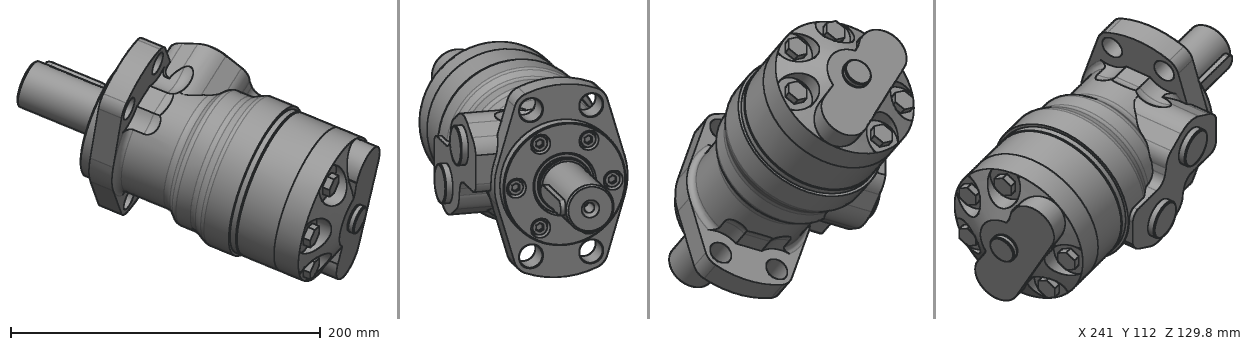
import cadquery as cq
import math

TOTAL_LENGTH = 241.0

SHAFT_RADIUS = 32.0 / 2
SHAFT_CHAMFER = 1.2
COLLAR_RADIUS = 35.7 / 2
COLLAR_LIP_RADIUS = 35.0 / 2
COLLAR_START = 56.2
COLLAR_LIP = 1.0
CENTRE_BORE_DIAMETER = 6.8
CENTRE_BORE_DEPTH = 16.9
DRILL_POINT_ANGLE = 118
CENTRE_SINK_DIAMETER = 11.8
KEY_START = 3.4
KEY_LENGTH = 45.5
KEY_WIDTH = 10.1
KEY_HEIGHT = 8.0
KEY_TOP = 19.0

PILOT_START = 58.8
PILOT_RADIUS = 41.2
PILOT_CHAMFER = 0.7
SEAL_RECESS_RADIUS = 20.0
SEAL_RECESS_DEPTH = 1.5
SEAL_RECESS_CHAMFER = 1.2
FLANGE_START = 67.3
FLANGE_END = 84.0
FLANGE_TIP_RADIUS = 64.9
FLANGE_WAIST_RADIUS = 44.8
FLANGE_TANGENT_Z = 12.8
FLANGE_CORNER_RADIUS = 12.0
MOUNT_HOLE_DIAMETER = 15.5
MOUNT_HOLE_Y = 20.3
MOUNT_HOLE_CHAMFER = 0.5
MOUNT_HOLE_Z = 49.2
SCREW_COUNT = 6
SCREW_CIRCLE_RADIUS = 32.5
SCREW_BORE_DIAMETER = 13.0
SCREW_BORE_DEPTH = 7.2
SCREW_HEAD_DIAMETER = 10.0
SCREW_HEAD_HEIGHT = 5.8
SCREW_SOCKET_FLATS = 5.0
SCREW_SOCKET_DEPTH = 3.0

NECK_RADIUS = 40.5
MIDDLE_RADIUS = 47.3
RIM_RADIUS = 52.0
NECK_END = 119.0
FIRST_SLOPE_START = (124.5, 42.2)
FIRST_SLOPE_END = (127.8, 45.5)
MIDDLE_START = 131.5
MIDDLE_END = 141.8
SECOND_SLOPE_START = (145.9, 48.2)
SECOND_SLOPE_END = (151.2, 51.0)
RIM_START = 154.0
HOUSING_END = 172.1

POCKET_RADIUS = 21.0
POCKET_Y = 23.1
POCKET_Z = 54.0
POCKET_END = 107.5
POCKET_END_ROUND = 11.5
POCKET_FLOOR_Z = 38.3
POCKET_FLOOR_HALF_WIDTH = 9.6

BLOCK_TOP = 55.0
BLOCK_CENTRE_X = 123.2
PORT_OFFSET_X = 17.8
PORT_OFFSET_Z = 17.8
PORT_LOBE_RADIUS = 20.5
BLOCK_HALF_LENGTH = 48.0
BLOCK_CORNER_Z = 19.3
FLANK_ANGLE = 30
FLANK_REACH = 21.5
BLOCK_NOSE_MIDDLE = (-44.8, 24.8)
SHOULDER_END = (9.6, 18.3)
STEP_ROUND_START = (11.0, 13.3)
STEP_ROUND_MIDDLE = (14.7, 8.5)
STEP_ROUND_END_X = 20.5
STEP_Z = 7.0
END_ROUND_START_X = 42.2
END_ROUND_MIDDLE = (46.3, 4.8)
PORT_CAP_DIAMETER = 26.0
PORT_CAP_TOP = 60.0
PORT_CAP_CHAMFER = 0.7

STACK_RADIUS = 100.0 / 2
PLATE_END = 176.7
SEAM_CHAMFER = 0.5
RING_END = 204.0
COVER_RIM_END = 221.5
COVER_END = 236.0
CONE_END_RADIUS = 20.0
BOSS_RADIUS = 16.9
BOSS_CIRCLE_RADIUS = 33.0
BOSS_FLANK = [(4.3, 32.3), (2.5, 24.4), (-14.7, -10.5), (-22.2, -24.0)]
BOLT_COUNT = 7
BOLT_CIRCLE_RADIUS = 40.5
BOSS_PLACES = (1, 5)
BOLT_FLATS = 13.0
BOLT_HEAD_HEIGHT = 5.0
BOLT_POCKET_RADIUS = 13.0
DRAIN_RADIUS = 19.0 / 2
DRAIN_NECK_RADIUS = 18.0 / 2
DRAIN_NECK_LENGTH = 1.0
DRAIN_CHAMFER = 0.7


def cylinder(start, end, radius, y=0.0, z=0.0):
    """Cylinder along X from start to end, with its axis at (y, z)."""
    return cq.Workplane("YZ", origin=(start, y, z)).circle(radius).extrude(end - start)


def hexagon(start, height, flats, y, z):
    """Hexagonal prism along X with two of its corners pointing along Z."""
    corner_diameter = flats / math.cos(math.pi / 6)
    return (
        cq.Workplane("YZ", origin=(start, y, z))
        .transformed(rotate=(0, 0, 90))
        .polygon(6, corner_diameter)
        .extrude(height)
    )


def circle_points(count, radius):
    """Evenly spaced (y, z) points around the drive axis, the first on +Y."""
    step = 2 * math.pi / count
    return [(radius * math.cos(i * step), radius * math.sin(i * step)) for i in range(count)]


def make_key():
    return (
        cq.Workplane("XZ", origin=(KEY_START + KEY_LENGTH / 2, KEY_TOP, 0))
        .slot2D(KEY_LENGTH, KEY_WIDTH)
        .extrude(KEY_HEIGHT)
    )


def make_centre_bore():
    """Drilled bore in the shaft end, with a 45-degree countersink and a drill point."""
    bore_radius = CENTRE_BORE_DIAMETER / 2
    sink_radius = CENTRE_SINK_DIAMETER / 2
    point_length = bore_radius / math.tan(math.radians(DRILL_POINT_ANGLE / 2))
    return (
        cq.Workplane("XY")
        .lineTo(0, sink_radius)
        .lineTo(sink_radius - bore_radius, bore_radius)
        .lineTo(CENTRE_BORE_DEPTH, bore_radius)
        .lineTo(CENTRE_BORE_DEPTH + point_length, 0)
        .close()
        .revolve(360, (0, 0, 0), (1, 0, 0))
    )


def make_shaft(key):
    collar_end = PILOT_START + SEAL_RECESS_DEPTH
    lip_end = COLLAR_START + COLLAR_LIP
    shaft = cylinder(0, collar_end, SHAFT_RADIUS).faces("<X").chamfer(SHAFT_CHAMFER)
    shaft = shaft.union(cylinder(COLLAR_START, lip_end, COLLAR_LIP_RADIUS))
    shaft = shaft.union(cylinder(lip_end, collar_end, COLLAR_RADIUS))
    return shaft.cut(make_centre_bore()).cut(key)


def make_flange():
    """Oval flange: two wide tip arcs joined by flanks tangent to the waist circle."""
    flank_angle = math.asin(FLANGE_TANGENT_Z / FLANGE_WAIST_RADIUS)
    tangent_y = FLANGE_WAIST_RADIUS * math.cos(flank_angle)
    flank_run = math.sqrt(FLANGE_TIP_RADIUS**2 - FLANGE_WAIST_RADIUS**2)
    corner_y = tangent_y - flank_run * math.sin(flank_angle)
    corner_z = FLANGE_TANGENT_Z + flank_run * math.cos(flank_angle)
    flange = (
        cq.Workplane("YZ", origin=(FLANGE_START, 0, 0))
        .moveTo(tangent_y, -FLANGE_TANGENT_Z)
        .threePointArc((FLANGE_WAIST_RADIUS, 0), (tangent_y, FLANGE_TANGENT_Z))
        .lineTo(corner_y, corner_z)
        .threePointArc((0, FLANGE_TIP_RADIUS), (-corner_y, corner_z))
        .lineTo(-tangent_y, FLANGE_TANGENT_Z)
        .threePointArc((-FLANGE_WAIST_RADIUS, 0), (-tangent_y, -FLANGE_TANGENT_Z))
        .lineTo(-corner_y, -corner_z)
        .threePointArc((0, -FLANGE_TIP_RADIUS), (corner_y, -corner_z))
        .close()
        .extrude(FLANGE_END - FLANGE_START)
    )
    for side in (1, -1):
        for end in (1, -1):
            corner = (FLANGE_START, side * corner_y, end * corner_z)
            flange = flange.edges("|X").edges(cq.NearestToPointSelector(corner)).fillet(FLANGE_CORNER_RADIUS)
    return flange


def make_barrel():
    """Revolved barrel: neck, middle and rim joined by S-shaped shoulders."""
    root_fillet = FLANGE_WAIST_RADIUS - NECK_RADIUS
    bend = math.sqrt(0.5) * root_fillet
    return (
        cq.Workplane("XY")
        .moveTo(FLANGE_END, 0)
        .lineTo(FLANGE_END, FLANGE_WAIST_RADIUS)
        .threePointArc(
            (FLANGE_END + root_fillet - bend, FLANGE_WAIST_RADIUS - bend),
            (FLANGE_END + root_fillet, NECK_RADIUS),
        )
        .lineTo(NECK_END, NECK_RADIUS)
        .tangentArcPoint(FIRST_SLOPE_START, relative=False)
        .lineTo(*FIRST_SLOPE_END)
        .tangentArcPoint((MIDDLE_START, MIDDLE_RADIUS), relative=False)
        .lineTo(MIDDLE_END, MIDDLE_RADIUS)
        .tangentArcPoint(SECOND_SLOPE_START, relative=False)
        .lineTo(*SECOND_SLOPE_END)
        .tangentArcPoint((RIM_START, RIM_RADIUS), relative=False)
        .lineTo(HOUSING_END, RIM_RADIUS)
        .lineTo(HOUSING_END, 0)
        .close()
        .revolve(360, (0, 0, 0), (1, 0, 0))
    )


def make_port_block():
    """Block with two staggered lobes, unchanged by a half turn about its own centre."""
    flank = math.radians(FLANK_ANGLE)
    arc_half = PORT_LOBE_RADIUS * math.sin(flank)
    arc_z = PORT_OFFSET_Z + PORT_LOBE_RADIUS * math.cos(flank)
    flank_z = arc_z - (FLANK_REACH - arc_half) * math.tan(flank)
    lobe_x = -PORT_OFFSET_X

    def half_outline(sketch, turn):
        def at(x, z):
            return (turn * x, turn * z)

        return (
            sketch.lineTo(*at(-BLOCK_HALF_LENGTH, BLOCK_CORNER_Z))
            .threePointArc(at(*BLOCK_NOSE_MIDDLE), at(lobe_x - FLANK_REACH, flank_z))
            .lineTo(*at(lobe_x - arc_half, arc_z))
            .tangentArcPoint(at(lobe_x + arc_half, arc_z), relative=False)
            .lineTo(*at(lobe_x + FLANK_REACH, flank_z))
            .tangentArcPoint(at(*SHOULDER_END), relative=False)
            .lineTo(*at(*STEP_ROUND_START))
            .threePointArc(at(*STEP_ROUND_MIDDLE), at(STEP_ROUND_END_X, STEP_Z))
            .lineTo(*at(END_ROUND_START_X, STEP_Z))
            .threePointArc(at(*END_ROUND_MIDDLE), at(BLOCK_HALF_LENGTH, 0))
        )

    outline = cq.Workplane("XZ", origin=(BLOCK_CENTRE_X, 0, 0)).moveTo(-BLOCK_HALF_LENGTH, 0)
    outline = half_outline(outline, 1)
    outline = half_outline(outline, -1)
    return outline.close().extrude(-BLOCK_TOP)


def make_port_cap(side):
    x = BLOCK_CENTRE_X - side * PORT_OFFSET_X
    z = side * PORT_OFFSET_Z
    cap = (
        cq.Workplane("XZ", origin=(x, BLOCK_TOP, z))
        .circle(PORT_CAP_DIAMETER / 2)
        .extrude(BLOCK_TOP - PORT_CAP_TOP)
    )
    return cap.faces(">Y").chamfer(PORT_CAP_CHAMFER)


def make_neck_pocket(side):
    """Round-ended clearance for two mounting bolts, above (1) or below (-1) the axis."""
    pocket_length = POCKET_END - FLANGE_END
    pocket = cq.Workplane("XY").box(
        pocket_length,
        2 * POCKET_FLOOR_HALF_WIDTH,
        POCKET_Z - POCKET_FLOOR_Z,
        centered=(False, True, False),
    )
    pocket = pocket.translate((FLANGE_END, 0, POCKET_FLOOR_Z))
    pocket = pocket.faces(">X").edges("<Z").fillet(POCKET_END_ROUND)
    for y in (POCKET_Y, -POCKET_Y):
        bore = cylinder(FLANGE_END, POCKET_END, POCKET_RADIUS, y, POCKET_Z)
        pocket = pocket.union(bore.faces(">X").edges().fillet(POCKET_END_ROUND))
    return pocket if side > 0 else pocket.mirror("XY")


def add_flange_screws(housing):
    """Counterbores in the pilot face, each holding a socket screw head."""
    floor = PILOT_START + SCREW_BORE_DEPTH
    head_top = floor - SCREW_HEAD_HEIGHT
    for y, z in circle_points(SCREW_COUNT, SCREW_CIRCLE_RADIUS):
        housing = housing.cut(cylinder(PILOT_START, floor, SCREW_BORE_DIAMETER / 2, y, z))
        head = cylinder(head_top, floor, SCREW_HEAD_DIAMETER / 2, y, z)
        head = head.cut(hexagon(head_top, SCREW_SOCKET_DEPTH, SCREW_SOCKET_FLATS, y, z))
        housing = housing.union(head)
    return housing


def make_seal_recess():
    """Shallow recess around the shaft collar, with a chamfered mouth."""
    mouth_radius = SEAL_RECESS_RADIUS + SEAL_RECESS_CHAMFER
    return (
        cq.Workplane("XY", origin=(PILOT_START, 0, 0))
        .lineTo(0, mouth_radius)
        .lineTo(SEAL_RECESS_CHAMFER, SEAL_RECESS_RADIUS)
        .lineTo(SEAL_RECESS_DEPTH, SEAL_RECESS_RADIUS)
        .lineTo(SEAL_RECESS_DEPTH, 0)
        .close()
        .revolve(360, (0, 0, 0), (1, 0, 0))
    )


def make_mount_hole(y, z):
    """Through hole in the flange, with a chamfer on the front face."""
    radius = MOUNT_HOLE_DIAMETER / 2
    return (
        cq.Workplane("XY", origin=(FLANGE_START, y, z))
        .lineTo(0, radius + MOUNT_HOLE_CHAMFER)
        .lineTo(MOUNT_HOLE_CHAMFER, radius)
        .lineTo(FLANGE_END - FLANGE_START, radius)
        .lineTo(FLANGE_END - FLANGE_START, 0)
        .close()
        .revolve(360, (0, 0, 0), (1, 0, 0))
    )


def make_housing():
    pilot = cylinder(PILOT_START, FLANGE_START, PILOT_RADIUS).faces("<X").chamfer(PILOT_CHAMFER)
    housing = make_barrel().union(make_port_block())
    for side in (1, -1):
        housing = housing.cut(make_neck_pocket(side))
        housing = housing.union(make_port_cap(side))
    housing = housing.union(make_flange()).union(pilot)
    housing = housing.cut(make_seal_recess())
    for y in (MOUNT_HOLE_Y, -MOUNT_HOLE_Y):
        for z in (MOUNT_HOLE_Z, -MOUNT_HOLE_Z):
            housing = housing.cut(make_mount_hole(y, z))
    return add_flange_screws(housing)


def make_plate():
    return cylinder(HOUSING_END, PLATE_END, STACK_RADIUS).faces(">X").chamfer(SEAM_CHAMFER)


def make_gear_ring():
    return cylinder(PLATE_END, RING_END, STACK_RADIUS).faces("<X").chamfer(SEAM_CHAMFER)


def make_cover_boss():
    """Two round lobes on the cone, at two of the bolt places, and the web that joins them."""
    places = circle_points(BOLT_COUNT, BOSS_CIRCLE_RADIUS)
    upper, lower = [places[i] for i in BOSS_PLACES]
    span = math.dist(upper, lower)
    offset_y = BOSS_RADIUS * (upper[1] - lower[1]) / span
    offset_z = BOSS_RADIUS * (lower[0] - upper[0]) / span
    plain_side = [(y + offset_y, z + offset_z) for y, z in (lower, upper)]
    boss = (
        cq.Workplane("YZ", origin=(COVER_RIM_END, 0, 0))
        .polyline([upper, *BOSS_FLANK, lower, *plain_side])
        .close()
        .extrude(COVER_END - COVER_RIM_END)
    )
    for y, z in (upper, lower):
        boss = boss.union(cylinder(COVER_RIM_END, COVER_END, BOSS_RADIUS, y, z))
    return boss


def make_drain_plug():
    head_start = COVER_END + DRAIN_NECK_LENGTH
    neck = cylinder(COVER_END, head_start, DRAIN_NECK_RADIUS)
    head = cylinder(head_start, TOTAL_LENGTH, DRAIN_RADIUS).faces(">X").chamfer(DRAIN_CHAMFER)
    return neck.union(head)


def make_cover():
    cover = (
        cq.Workplane("XY")
        .moveTo(RING_END, 0)
        .lineTo(RING_END, STACK_RADIUS)
        .lineTo(COVER_RIM_END, STACK_RADIUS)
        .lineTo(COVER_END, CONE_END_RADIUS)
        .lineTo(COVER_END, 0)
        .close()
        .revolve(360, (0, 0, 0), (1, 0, 0))
    )
    for place, (y, z) in enumerate(circle_points(BOLT_COUNT, BOLT_CIRCLE_RADIUS)):
        if place in BOSS_PLACES:
            continue
        cover = cover.cut(cylinder(COVER_RIM_END, COVER_END, BOLT_POCKET_RADIUS, y, z))
        cover = cover.union(hexagon(COVER_RIM_END, BOLT_HEAD_HEIGHT, BOLT_FLATS, y, z))
    return cover.union(make_cover_boss()).union(make_drain_plug())


key = make_key()
shaft = make_shaft(key)
housing = make_housing()
plate = make_plate()
gear_ring = make_gear_ring()
cover = make_cover()

result = cq.Compound.makeCompound(
    [housing.val(), shaft.val(), key.val(), plate.val(), gear_ring.val(), cover.val()]
)